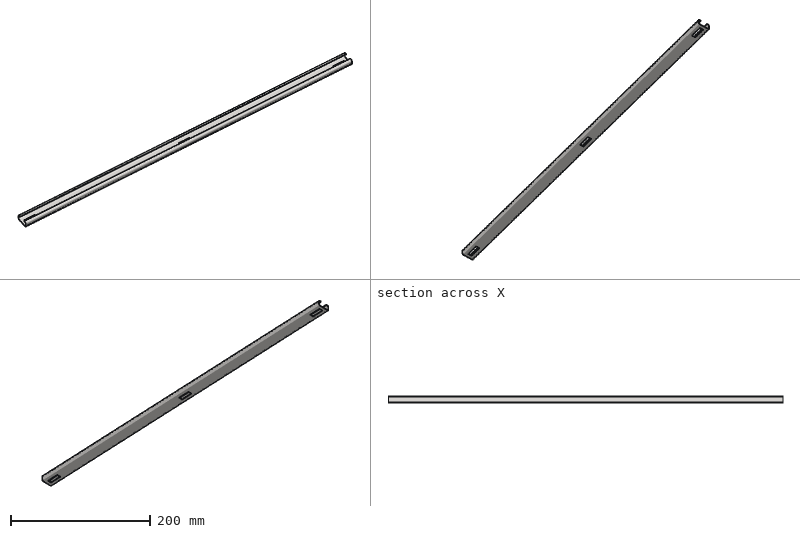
import cadquery as cq

rail_width = 20.0
rail_height = 10.0
rail_length = 566.0
sheet_thickness = 1.5
lip_opening = 10.5
inner_bend_radius = 1.5
outer_bend_radius = inner_bend_radius + sheet_thickness

slot_width = 6.0
slot_length = 19.0
slot_spacing = 268.0
slot_positions = (-slot_spacing, 0.0, slot_spacing)


def rounded_bar(width, height, corner_radius):
    """Full-length bar centred on the origin, with rounded lengthwise corners."""
    bar = cq.Workplane("XY").box(width, rail_length, height)
    return bar.edges("|Y").fillet(corner_radius)


def c_rail():
    """C-shaped rail of even wall thickness, open at the top between two lips."""
    outside = rounded_bar(rail_width, rail_height, outer_bend_radius)
    inside = rounded_bar(
        rail_width - 2 * sheet_thickness,
        rail_height - 2 * sheet_thickness,
        inner_bend_radius,
    )
    opening = cq.Workplane("XY").box(
        lip_opening, rail_length, rail_height, centered=(True, True, False)
    )
    return outside.cut(inside).cut(opening)


def floor_slots():
    """Row of rectangular slots along the centreline, cutting the floor only."""
    centres = [(0.0, y) for y in slot_positions]
    return (
        cq.Workplane("XY")
        .workplane(offset=-rail_height / 2)
        .pushPoints(centres)
        .rect(slot_width, slot_length)
        .extrude(rail_height / 2)
    )


result = c_rail().cut(floor_slots())